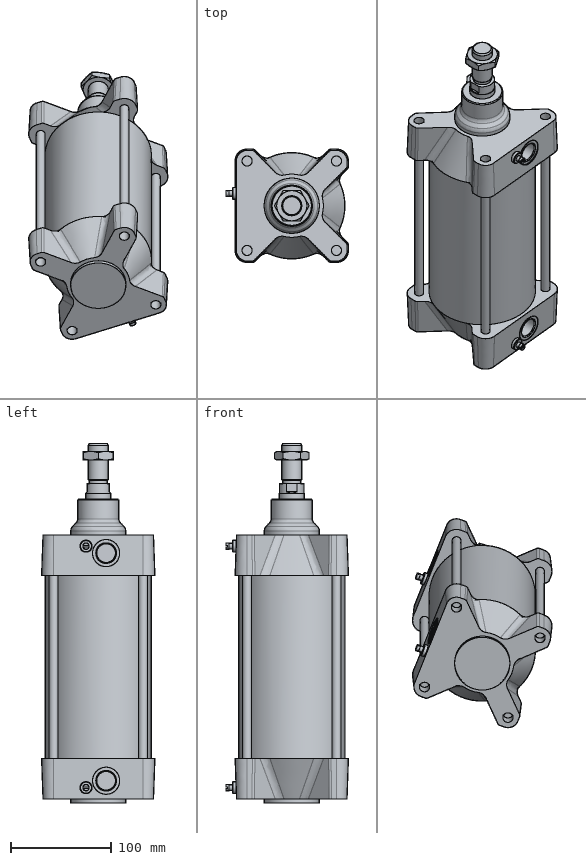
import cadquery as cq
import math

HEAD_SPAN = 263.0
HEAD_HEIGHT = 40.5
HEAD_WIDTH = 113.0
HEAD_DRAFT = 2.0
TIE_ROD_PITCH = 89.0
BARREL_DIAMETER = 106.0
CORNER_RADIUS = (HEAD_WIDTH - TIE_ROD_PITCH) / 2

ARM_HALF_WIDTH = 11.9
ARM_EDGE_RADIUS = 3.5
ARM_EDGE_TOLERANCE = 2.0
POCKET_TOP_RADIUS = 31.5
POCKET_FILLET = 8.0
POCKET_DIRECTIONS = (0, 90, 270)
POCKET_REACH = HEAD_WIDTH

TIE_ROD_DIAMETER = 8.9
TIE_ROD_HOLE_DIAMETER = 10.0
TIE_ROD_HOLE_DEPTH = 15.0

COLLAR_DIAMETER = 55.0
REAR_COLLAR_HEIGHT = 4.0
COLLAR_STRAIGHT = 6.5
COLLAR_FILLET = 6.0
NECK_DIAMETER = 41.0
NECK_TOP = 35.5
NECK_CHAMFER = 1.0

PORT_Y = -7.8
PORT_DEPTH_BELOW_FACE = 18.2
PORT_DIAMETER = 18.6
PORT_DEPTH = 15.0
PORT_MOUTH_DIAMETER = 20.6
PORT_SEAT_DIAMETER = 27.0
PORT_SEAT_X = -55.0
SCREW_Y = 12.2
SCREW_DEPTH_BELOW_FACE = 11.3
SCREW_TIP_DIAMETER = 6.4
SCREW_TIP_X = -65.5
SCREW_COLLAR_DIAMETER = 12.0
SCREW_COLLAR_X = -59.0
SCREW_COLLAR_CHAMFER = 0.5
SCREW_NECK_DIAMETER = 6.0
SCREW_TIP_LENGTH = 3.0
SCREW_ROOT_X = -50.0
SCREW_SLOT_WIDTH = 1.2
SCREW_SLOT_DEPTH = 1.5

ROD_DIAMETER = 25.0
ROD_SHOULDER = 51.0
THREAD_LENGTH = 40.0
THREAD_DIAMETER = 20.0
THREAD_CHAMFER = 2.0
THREAD_TIP_DIAMETER = 18.0
UNDERCUT_DIAMETER = 18.0
UNDERCUT_LENGTH = 3.0
FLAT_WIDTH = 22.0
FLAT_LENGTH = 8.0
ROD_END_DIAMETER = 24.5
ROD_END_LENGTH = 10.0
ROD_SOCKET_DEPTH = 20.0

NUT_ACROSS_FLATS = 30.0
NUT_HEIGHT = 8.5
NUT_TIP_GAP = 8.0
NUT_CHAMFER_ANGLE = 30.0

MID_Z = HEAD_SPAN / 2
SHOULDER_Z = HEAD_SPAN + ROD_SHOULDER
TIP_Z = SHOULDER_Z + THREAD_LENGTH
NECK_TOP_Z = HEAD_SPAN + NECK_TOP
SOCKET_Z = NECK_TOP_Z - ROD_SOCKET_DEPTH
HEAD_BASE_Z = HEAD_SPAN - HEAD_HEIGHT


def revolve_z(points):
    """Solid of revolution about Z from (radius, z) points that start and end on the axis."""
    return cq.Workplane("XZ").polyline(points).close().revolve(360, (0, 0), (0, 1))


def revolve_x(points, y, z):
    """Solid of revolution about a line along X from (x, radius) points."""
    profile = cq.Workplane("XY", origin=(0, y, z)).polyline(points).close()
    return profile.revolve(360, (0, 0), (1, 0))


def is_upright(edge):
    """True for an edge that runs most of the way up the height of the head."""
    return abs(edge.startPoint().z - edge.endPoint().z) > HEAD_HEIGHT / 2


def pocket(angle):
    """Cutter for one wedge between two arms, with a conical floor and filleted inner corners."""
    apex = ARM_HALF_WIDTH * math.sqrt(2)
    far = apex + POCKET_REACH
    wedge = (
        cq.Workplane("XY", origin=(0, 0, HEAD_SPAN))
        .polyline([(apex, 0), (far, POCKET_REACH), (far, -POCKET_REACH)])
        .close()
        .extrude(-HEAD_HEIGHT, taper=HEAD_DRAFT)
    )
    floor = revolve_z([
        (0, HEAD_BASE_Z),
        (BARREL_DIAMETER / 2, HEAD_BASE_Z),
        (POCKET_TOP_RADIUS, HEAD_SPAN),
        (0, HEAD_SPAN),
    ])
    cutter = wedge.cut(floor)
    corners = cutter.faces("%CONE").edges().filter(is_upright)
    cutter = cutter.newObject(corners.vals()).fillet(POCKET_FILLET)
    return cutter.rotate((0, 0, 0), (0, 0, 1), angle)


def round_arm_edges(head):
    """Round the upright edges where the arm sides meet the outer walls of the head."""
    edge_offset = HEAD_WIDTH / 2 - ARM_HALF_WIDTH * math.sqrt(2)

    def is_arm_edge(edge):
        center = edge.Center()
        across = max(abs(center.x), abs(center.y))
        along = min(abs(center.x), abs(center.y))
        on_outer_wall = across > TIE_ROD_PITCH / 2
        return is_upright(edge) and on_outer_wall and abs(along - edge_offset) < ARM_EDGE_TOLERANCE

    return head.newObject(head.edges().filter(is_arm_edge).vals()).fillet(ARM_EDGE_RADIUS)


def port(z):
    """Cutter for an air port: shallow seat, chamfered mouth and blind bore."""
    lead_in = (PORT_MOUTH_DIAMETER - PORT_DIAMETER) / 2
    bottom_x = PORT_SEAT_X + PORT_DEPTH
    outside_x = -HEAD_WIDTH
    return revolve_x([
        (outside_x, 0),
        (outside_x, PORT_SEAT_DIAMETER / 2),
        (PORT_SEAT_X, PORT_SEAT_DIAMETER / 2),
        (PORT_SEAT_X, PORT_MOUTH_DIAMETER / 2),
        (PORT_SEAT_X + lead_in, PORT_DIAMETER / 2),
        (bottom_x, PORT_DIAMETER / 2),
        (bottom_x, 0),
    ], PORT_Y, z)


def cushion_screw(z):
    """Slotted cushion screw with a collar, standing out of the -X face."""
    tip_end_x = SCREW_TIP_X + SCREW_TIP_LENGTH
    screw = revolve_x([
        (SCREW_TIP_X, 0),
        (SCREW_TIP_X, SCREW_TIP_DIAMETER / 2),
        (tip_end_x, SCREW_TIP_DIAMETER / 2),
        (tip_end_x, SCREW_NECK_DIAMETER / 2),
        (SCREW_COLLAR_X, SCREW_NECK_DIAMETER / 2),
        (SCREW_COLLAR_X, SCREW_COLLAR_DIAMETER / 2 - SCREW_COLLAR_CHAMFER),
        (SCREW_COLLAR_X + SCREW_COLLAR_CHAMFER, SCREW_COLLAR_DIAMETER / 2),
        (SCREW_ROOT_X, SCREW_COLLAR_DIAMETER / 2),
        (SCREW_ROOT_X, 0),
    ], SCREW_Y, z)
    slot = cq.Workplane("XY").box(2 * SCREW_SLOT_DEPTH, SCREW_TIP_DIAMETER, SCREW_SLOT_WIDTH)
    return screw.cut(slot.translate((SCREW_TIP_X, SCREW_Y, z)))


def make_head():
    """Front head: drafted square block with three pockets, screw recesses, port and cushion screw."""
    head = (
        cq.Workplane("XY", origin=(0, 0, HEAD_BASE_Z))
        .sketch()
        .rect(HEAD_WIDTH, HEAD_WIDTH)
        .vertices()
        .fillet(CORNER_RADIUS)
        .finalize()
        .extrude(HEAD_HEIGHT, taper=HEAD_DRAFT)
    )
    for angle in POCKET_DIRECTIONS:
        head = head.cut(pocket(angle))
    head = round_arm_edges(head)
    recesses = (
        cq.Workplane("XY", origin=(0, 0, HEAD_SPAN))
        .rect(TIE_ROD_PITCH, TIE_ROD_PITCH, forConstruction=True)
        .vertices()
        .circle(TIE_ROD_HOLE_DIAMETER / 2)
        .extrude(-TIE_ROD_HOLE_DEPTH)
    )
    head = head.cut(recesses)
    head = head.cut(port(HEAD_SPAN - PORT_DEPTH_BELOW_FACE))
    return head.union(cushion_screw(HEAD_SPAN - SCREW_DEPTH_BELOW_FACE))


def make_front_collar():
    """Stepped collar and neck that guide the piston rod."""
    collar_radius = COLLAR_DIAMETER / 2
    neck_radius = NECK_DIAMETER / 2
    shoulder_start_z = HEAD_SPAN + COLLAR_STRAIGHT
    shoulder_end_z = shoulder_start_z + collar_radius - neck_radius
    collar = revolve_z([
        (0, HEAD_SPAN),
        (collar_radius, HEAD_SPAN),
        (collar_radius, shoulder_start_z),
        (neck_radius, shoulder_end_z),
        (neck_radius, NECK_TOP_Z),
        (0, NECK_TOP_Z),
    ])
    collar = collar.faces(">Z").edges().chamfer(NECK_CHAMFER)
    shoulder = collar.faces("%CONE").faces("<Z")
    return shoulder.edges().fillet(COLLAR_FILLET)


def make_housing():
    """Barrel, both heads, tie rods and collars as one body with a socket for the piston rod."""
    head = make_head()
    housing = (
        cq.Workplane("XY", origin=(0, 0, HEAD_HEIGHT))
        .circle(BARREL_DIAMETER / 2)
        .extrude(HEAD_SPAN - 2 * HEAD_HEIGHT)
    )
    tie_rods = (
        cq.Workplane("XY", origin=(0, 0, HEAD_HEIGHT))
        .rect(TIE_ROD_PITCH, TIE_ROD_PITCH, forConstruction=True)
        .vertices()
        .circle(TIE_ROD_DIAMETER / 2)
        .extrude(HEAD_SPAN - 2 * HEAD_HEIGHT)
    )
    rear_collar = cq.Workplane("XY").circle(COLLAR_DIAMETER / 2).extrude(-REAR_COLLAR_HEIGHT)
    housing = housing.union(tie_rods).union(head)
    housing = housing.union(head.mirror("XY", (0, 0, MID_Z)))
    housing = housing.union(make_front_collar()).union(rear_collar)
    socket = (
        cq.Workplane("XY", origin=(0, 0, SOCKET_Z))
        .circle(ROD_DIAMETER / 2)
        .extrude(ROD_SOCKET_DEPTH)
    )
    return housing.cut(socket)


def make_piston_rod():
    """Piston rod with a reduced end, wrench flats, thread undercut and chamfered thread end."""
    rod_radius = ROD_DIAMETER / 2
    thread_radius = THREAD_DIAMETER / 2
    undercut_radius = UNDERCUT_DIAMETER / 2
    undercut_top = SHOULDER_Z + UNDERCUT_LENGTH
    rod = revolve_z([
        (0, SOCKET_Z),
        (rod_radius, SOCKET_Z),
        (rod_radius, SHOULDER_Z - ROD_END_LENGTH),
        (ROD_END_DIAMETER / 2, SHOULDER_Z - ROD_END_LENGTH),
        (ROD_END_DIAMETER / 2, SHOULDER_Z),
        (undercut_radius, SHOULDER_Z),
        (undercut_radius, undercut_top),
        (thread_radius, undercut_top + thread_radius - undercut_radius),
        (thread_radius, TIP_Z - THREAD_CHAMFER),
        (THREAD_TIP_DIAMETER / 2, TIP_Z),
        (0, TIP_Z),
    ])
    half_flat = FLAT_WIDTH / 2
    flat_bottom_z = SHOULDER_Z - FLAT_LENGTH
    flat_cutter = (
        cq.Workplane("YZ")
        .polyline([
            (half_flat, SHOULDER_Z),
            (half_flat, flat_bottom_z),
            (half_flat + FLAT_LENGTH, flat_bottom_z - FLAT_LENGTH),
            (half_flat + FLAT_LENGTH, SHOULDER_Z),
        ])
        .close()
        .extrude(rod_radius, both=True)
    )
    return rod.cut(flat_cutter).cut(flat_cutter.mirror("XZ"))


def make_nut():
    """Hexagon lock nut with corners along X and both ends chamfered."""
    corner_radius = NUT_ACROSS_FLATS / math.sqrt(3)
    flat_radius = NUT_ACROSS_FLATS / 2
    chamfer_height = (corner_radius - flat_radius) * math.tan(math.radians(NUT_CHAMFER_ANGLE))
    top = TIP_Z - NUT_TIP_GAP
    bottom = top - NUT_HEIGHT
    hexagon = (
        cq.Workplane("XY", origin=(0, 0, bottom))
        .polygon(6, 2 * corner_radius)
        .circle(THREAD_DIAMETER / 2)
        .extrude(NUT_HEIGHT)
    )
    envelope = revolve_z([
        (0, bottom),
        (flat_radius, bottom),
        (corner_radius, bottom + chamfer_height),
        (corner_radius, top - chamfer_height),
        (flat_radius, top),
        (0, top),
    ])
    return hexagon.intersect(envelope)


housing = make_housing()
piston_rod = make_piston_rod()
nut = make_nut()

result = cq.Compound.makeCompound([housing.val(), piston_rod.val(), nut.val()])